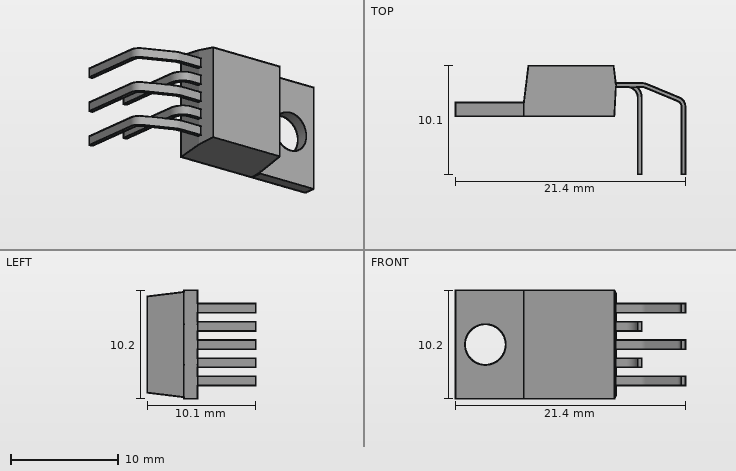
import cadquery as cq
import math

total_length = 21.45
package_width = 10.15

tab_length = 6.37
tab_thickness = 1.29
hole_diameter = 3.78
hole_x = 2.8

housing_depth = 4.72
housing_base_end = 14.83
draft = math.tan(math.radians(7))
lower_end_draft = math.tan(math.radians(3))

lead_count = 5
lead_pitch = 1.7
lead_width = 0.88
lead_thickness = 0.39
lead_y = 2.92
lead_tip_y = housing_depth - package_width
lead_start_x = 14.16
short_lead_outer_x = 17.38
short_bend_radius = 1.18
long_first_bend_x = 17.35
long_first_bend_radius = 1.18
long_second_bend_radius = 0.75
long_slope_angle = math.radians(22.5)


def make_tab():
    """Flat plate with a round mounting hole through its thickness."""
    plate = cq.Workplane("XY").box(tab_length, tab_thickness, package_width, centered=(False, False, True))
    hole = (
        cq.Workplane("XZ")
        .center(hole_x, 0)
        .circle(hole_diameter / 2)
        .extrude(-tab_thickness)
    )
    return plate.cut(hole)


def make_housing(leads):
    """Drafted block whose lead end is widest at the lead plane, with a socket for each lead."""
    ridge_x = housing_base_end + lead_y * lower_end_draft
    side_profile = (
        cq.Workplane("XY")
        .moveTo(tab_length, 0)
        .lineTo(housing_base_end, 0)
        .lineTo(ridge_x, lead_y)
        .lineTo(ridge_x - (housing_depth - lead_y) * draft, housing_depth)
        .lineTo(tab_length + (housing_depth - tab_thickness) * draft, housing_depth)
        .lineTo(tab_length, tab_thickness)
        .close()
        .extrude(package_width / 2, both=True)
    )
    half_base = package_width / 2
    half_top = half_base - housing_depth * draft
    end_profile = (
        cq.Workplane("YZ")
        .polyline([(0, -half_base), (0, half_base), (housing_depth, half_top), (housing_depth, -half_top)])
        .close()
        .extrude(total_length)
    )
    housing = side_profile.intersect(end_profile)
    for lead in leads:
        housing = housing.cut(lead)
    return housing


def add_bend(path, start, start_angle, end_angle, radius):
    """Append a downward-turning arc to the path; angles are the slopes below +X. Return its end point."""
    def point_at(angle):
        return (
            start[0] + radius * (math.sin(angle) - math.sin(start_angle)),
            start[1] + radius * (math.cos(angle) - math.cos(start_angle)),
        )

    end = point_at(end_angle)
    path = path.threePointArc(point_at((start_angle + end_angle) / 2), end)
    return path, end


def sweep_lead(path):
    """Sweep the rectangular lead section along a centreline."""
    section = cq.Workplane("YZ", origin=(lead_start_x, lead_y, 0)).rect(lead_thickness, lead_width)
    return section.sweep(path)


def make_short_lead():
    """Lead with a single right-angle bend."""
    bend_start = (short_lead_outer_x - lead_thickness / 2 - short_bend_radius, lead_y)
    path = cq.Workplane("XY").moveTo(lead_start_x, lead_y).lineTo(*bend_start)
    path, bend_end = add_bend(path, bend_start, 0, math.pi / 2, short_bend_radius)
    return sweep_lead(path.lineTo(bend_end[0], lead_tip_y))


def make_long_lead():
    """Lead that slopes away after a slight bend, then turns parallel to the short leads."""
    first_start = (long_first_bend_x, lead_y)
    path = cq.Workplane("XY").moveTo(lead_start_x, lead_y).lineTo(*first_start)
    path, first_end = add_bend(path, first_start, 0, long_slope_angle, long_first_bend_radius)

    tip_x = total_length - lead_thickness / 2
    second_x = tip_x - long_second_bend_radius * (1 - math.sin(long_slope_angle))
    second_y = first_end[1] - (second_x - first_end[0]) * math.tan(long_slope_angle)
    second_start = (second_x, second_y)
    path = path.lineTo(*second_start)
    path, second_end = add_bend(
        path, second_start, long_slope_angle, math.pi / 2, long_second_bend_radius
    )
    return sweep_lead(path.lineTo(second_end[0], lead_tip_y))


leads = []
for index in range(lead_count):
    lead_z = (index - (lead_count - 1) / 2) * lead_pitch
    lead = make_long_lead() if index % 2 == 0 else make_short_lead()
    leads.append(lead.translate((0, 0, lead_z)))

tab = make_tab()
housing = make_housing(leads)

result = cq.Compound.makeCompound([tab.val(), housing.val(), *[lead.val() for lead in leads]])